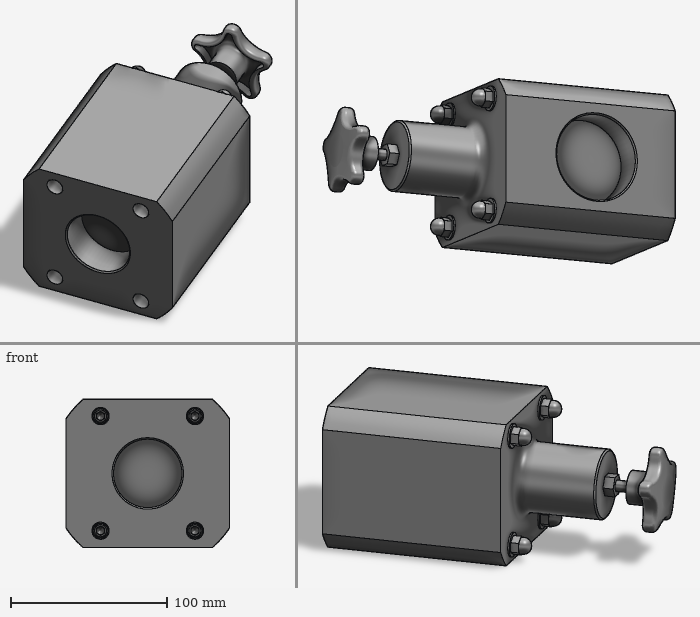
import cadquery as cq
import math


body_width = 104.7
body_height = 95.2
body_length = 120.5
body_turned_diameter = 126.0

front_port_diameter = 43.8
front_port_depth = 23.3
side_port_diameter = 56.0
side_port_depth = 22.0
side_port_y = 56.0
port_rim = 0.97

screw_pitch_x = 60.5
screw_pitch_z = 73.5
screw_recess_diameter = 11.0
screw_recess_depth = 17.3
screw_head_diameter = 9.5
screw_head_height = 6.0
screw_head_chamfer = 0.9
socket_across_flats = 5.2
socket_depth = 3.2
socket_tip_depth = 1.5
washer_diameter = 16.0
washer_thickness = 1.0
cap_nut_across_flats = 11.0
cap_nut_hex_height = 5.5
cap_nut_collar_height = 1.3
cap_nut_dome_diameter = cap_nut_across_flats

bonnet_diameter = 45.8
bonnet_end_y = 174.5
bonnet_chamfer = 1.0
bonnet_base_fillet = 6.5
lock_nut_across_flats = 13.0
lock_nut_end_y = 181.3
spindle_diameter = 7.3
hub_diameter = 22.0
hub_start_y = 191.0

lobe_count = 5
first_lobe_angle = 90
lobe_radius = 5.5
lobe_circle_radius = 23.0
valley_radius = 15.1
wheel_start_y = 204.0
wheel_end_y = 215.9
wheel_dome_radius = 97.2
wheel_fillet = 3.0
wheel_wall = 3.13
wheel_hollow_depth = 6.5
hub_fillet = 4.3


def cylinder_y(diameter, start_y, end_y, x=0, z=0):
    """Cylinder parallel to Y between two Y positions."""
    base = cq.Workplane("XZ", origin=(x, start_y, z))
    return base.circle(diameter / 2).extrude(start_y - end_y)


def hexagon_y(across_flats, start_y, end_y, x=0, z=0, turn=0):
    """Hexagonal prism parallel to Y; its corners lie along X, or along Z after a 90 degree turn."""
    across_corners = across_flats / math.cos(math.radians(30))
    base = cq.Workplane("XZ", origin=(x, start_y, z)).transformed(rotate=(0, 0, turn))
    return base.polygon(6, across_corners).extrude(start_y - end_y)


def blind_port(mouth, diameter, depth):
    """Blind bore with a countersunk rim, going in against the normal of the mouth workplane."""
    bore = mouth.circle(diameter / 2).extrude(-depth)
    rim = mouth.circle(diameter / 2 + port_rim).extrude(-port_rim, taper=45)
    return bore.union(rim)


def make_body():
    block = cq.Workplane("XY").box(body_width, body_length, body_height)
    block = block.translate((0, body_length / 2, 0))
    block = block.intersect(cylinder_y(body_turned_diameter, 0, body_length))
    front_mouth = cq.Workplane("XZ")
    block = block.cut(blind_port(front_mouth, front_port_diameter, front_port_depth))
    side_mouth = cq.Workplane("ZY", origin=(-body_width / 2, side_port_y, 0))
    return block.cut(blind_port(side_mouth, side_port_diameter, side_port_depth))


def screw_recess(x, z):
    """Counterbore that leaves the socket head screw standing on its floor."""
    head_y = screw_recess_depth - screw_head_height
    head = cylinder_y(screw_head_diameter, head_y, screw_recess_depth, x, z)
    head = head.faces("<Y").chamfer(screw_head_chamfer)
    socket_end_y = head_y + socket_depth
    head = head.cut(hexagon_y(socket_across_flats, head_y, socket_end_y, x, z, turn=90))
    tip = cq.Solid.makeCone(socket_across_flats / 2, 0, socket_tip_depth,
                            cq.Vector(x, socket_end_y, z), cq.Vector(0, 1, 0))
    head = head.cut(cq.Workplane(tip))
    return cylinder_y(screw_recess_diameter, 0, screw_recess_depth, x, z).cut(head)


def cap_nut(x, z):
    """Washer, hexagon, short collar and dome on the back face of the body."""
    hex_start_y = body_length + washer_thickness
    hex_end_y = hex_start_y + cap_nut_hex_height
    dome_y = hex_end_y + cap_nut_collar_height
    nut = cylinder_y(washer_diameter, body_length, hex_start_y, x, z)
    nut = nut.union(hexagon_y(cap_nut_across_flats, hex_start_y, hex_end_y, x, z, turn=90))
    nut = nut.union(cylinder_y(cap_nut_dome_diameter, hex_end_y, dome_y, x, z))
    return nut.union(cq.Workplane("XY").sphere(cap_nut_dome_diameter / 2).translate((x, dome_y, z)))


def make_bonnet():
    """Turned bonnet flaring into the back face of the body, with lock nut and spindle."""
    radius = bonnet_diameter / 2
    flare_radius = radius + bonnet_base_fillet
    flare_end_y = body_length + bonnet_base_fillet
    flare_offset = bonnet_base_fillet * (1 - math.sqrt(0.5))
    profile = (
        cq.Workplane("XY")
        .moveTo(0, body_length)
        .lineTo(flare_radius, body_length)
        .threePointArc((radius + flare_offset, body_length + flare_offset), (radius, flare_end_y))
        .lineTo(radius, bonnet_end_y - bonnet_chamfer)
        .lineTo(radius - bonnet_chamfer, bonnet_end_y)
        .lineTo(0, bonnet_end_y)
        .close()
    )
    bonnet = profile.revolve(360, (0, 0, 0), (0, 1, 0))
    bonnet = bonnet.union(hexagon_y(lock_nut_across_flats, bonnet_end_y, lock_nut_end_y))
    return bonnet.union(cylinder_y(spindle_diameter, lock_nut_end_y, hub_start_y))


def polar(radius, angle):
    """Point at an angle in degrees about the valve axis."""
    return (radius * math.cos(math.radians(angle)), radius * math.sin(math.radians(angle)))


def wheel_outline(inset, start_y, height):
    """Star prism whose outline lies inside the hand wheel outline by the inset."""
    half_step = 180 / lobe_count
    lobe_r = lobe_radius - inset
    valley_r = valley_radius + inset
    across = lobe_circle_radius * math.sin(math.radians(half_step))
    along = lobe_circle_radius * math.cos(math.radians(half_step))
    valley_circle_radius = along + math.sqrt((lobe_r + valley_r) ** 2 - across ** 2)
    touch = lobe_r / (lobe_r + valley_r)

    def touch_point(lobe_angle, valley_angle):
        lobe = polar(lobe_circle_radius, lobe_angle)
        valley = polar(valley_circle_radius, valley_angle)
        return tuple(a + touch * (b - a) for a, b in zip(lobe, valley))

    outline = cq.Workplane("XZ", origin=(0, start_y, 0))
    outline = outline.moveTo(*touch_point(first_lobe_angle, first_lobe_angle - half_step))
    for index in range(lobe_count):
        lobe_angle = first_lobe_angle + 2 * half_step * index
        valley_angle = lobe_angle + half_step
        outline = outline.threePointArc(polar(lobe_circle_radius + lobe_r, lobe_angle),
                                        touch_point(lobe_angle, valley_angle))
        outline = outline.threePointArc(polar(valley_circle_radius - valley_r, valley_angle),
                                        touch_point(lobe_angle + 2 * half_step, valley_angle))
    return outline.close().extrude(-height)


def make_hub():
    """Hub with a concave flare into the roof of the hollow."""
    radius = hub_diameter / 2
    roof_y = wheel_start_y + wheel_hollow_depth
    flare_offset = hub_fillet * (1 - math.sqrt(0.5))
    profile = (
        cq.Workplane("XY")
        .moveTo(0, hub_start_y)
        .lineTo(radius, hub_start_y)
        .lineTo(radius, roof_y - hub_fillet)
        .threePointArc((radius + flare_offset, roof_y - flare_offset), (radius + hub_fillet, roof_y))
        .lineTo(0, roof_y)
        .close()
    )
    return profile.revolve(360, (0, 0, 0), (0, 1, 0))


def make_hand_wheel():
    """Hand wheel with a flat crown, a domed top and a hollow underside around its hub."""
    hub_radius = hub_diameter / 2
    dome_centre_y = wheel_end_y - math.sqrt(wheel_dome_radius ** 2 - hub_radius ** 2)
    dome = cq.Workplane("XY").sphere(wheel_dome_radius).translate((0, dome_centre_y, 0))
    wheel = wheel_outline(0, wheel_start_y, wheel_end_y - wheel_start_y).intersect(dome)
    wheel = wheel.faces("%SPHERE").edges("not %CIRCLE").fillet(wheel_fillet)
    wheel = wheel.faces("<Y").edges().fillet(wheel_fillet)

    hollow = wheel_outline(wheel_wall, wheel_start_y, wheel_hollow_depth)
    return wheel.cut(hollow).union(make_hub())


corners = [(x, z) for x in (-screw_pitch_x / 2, screw_pitch_x / 2)
           for z in (-screw_pitch_z / 2, screw_pitch_z / 2)]

result = make_body().union(make_bonnet()).union(make_hand_wheel())
for corner_x, corner_z in corners:
    result = result.cut(screw_recess(corner_x, corner_z)).union(cap_nut(corner_x, corner_z))